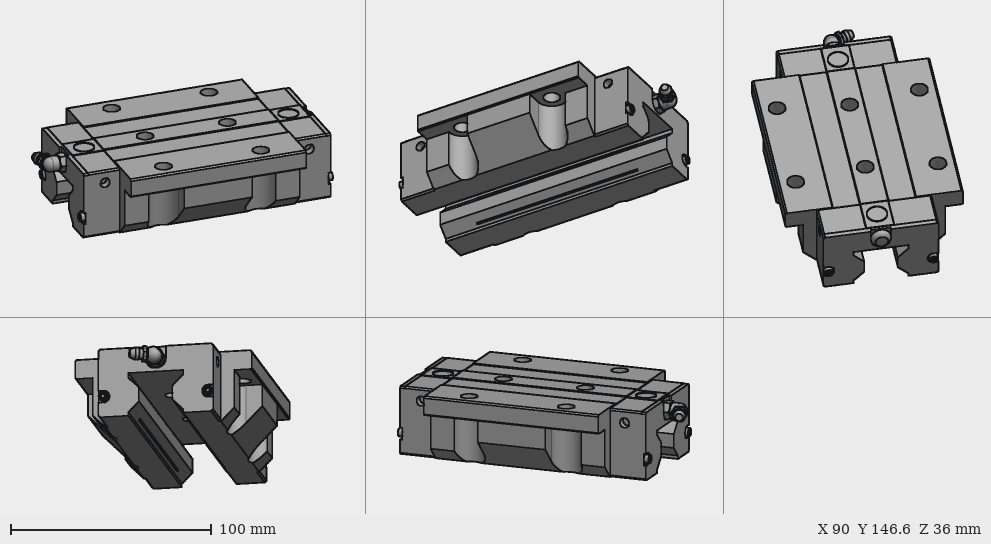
import cadquery as cq
import math

height = 36.0
edge_chamfer = 0.9

flange_width = 90.0
body_length = 93.5
flange_bottom = 26.2
skirt_half_width = 44.4
skirt_corner_height = 15.1
top_groove_depth = 0.5
top_groove_half_width = 21.2
center_strip_width = 13.9

bolt_hole_diameter = 8.5
bolt_spacing_x = 72.1
bolt_spacing_y = 52.0
center_hole_spacing = 44.0
bolt_head_radius = 7.9

channel_height = 22.1
channel_half_width = 13.9
channel_throat_half_width = 8.5
throat_bottom = 7.2
throat_top = 14.4
ridge_radius = 0.5
ridge_offset_from_throat = 3.8

cap_half_width = 29.2
cap_end = 63.5
cap_height = 35.3
cap_strip_height = 35.6
plate_end = 66.0
plate_height = 35.2
port_y = 54.5
top_port_diameter = 10.3
top_port_depth = 0.5
side_port_diameter = 5.0
side_port_depth = 4.4
side_port_height = 28.7

seat_depth = 1.2
screw_x = 26.7
screw_height = 10.7
screw_seat_radius = 3.1
screw_head_radius = 2.2
screw_head_length = 2.6
screw_edge_chamfer = 0.3
screw_socket_width = 2.2
screw_socket_depth = 1.2

port_height = 29.2
port_seat_radius = 5.1
plug_height = 3.2
plug_flat_radius = 3.2
plug_dome_point = (4.7, 2.0)
hex_corner_diameter = 9.7
hex_end = 68.7
hex_corner_chamfer = 0.7
elbow_radius = 4.0
elbow_center_y = 72.4
nozzle_angle = 20.8
collar_corner_diameter = 8.2
collar_start = 3.7
collar_end = 5.3
nozzle_root_radius = 2.8
nozzle_neck_radius = 2.5
nozzle_band_radius = 3.1
nozzle_band_start = 7.3
nozzle_band_end = 9.2
nozzle_tip_radius = 1.9
nozzle_length = 11.9

body_end = body_length / 2
seat_floor = plate_end - seat_depth
groove_floor = height - top_groove_depth
pocket_start = bolt_spacing_y / 2 - bolt_head_radius


def block(x_range, y_range, z_range):
    """Axis-aligned box given by its limits."""
    size = [high - low for low, high in (x_range, y_range, z_range)]
    corner = (x_range[0], y_range[0], z_range[0])
    return cq.Workplane("XY").box(*size, centered=False).translate(corner)


def front_plane(y):
    """XZ workplane at the given Y, extruding toward -Y."""
    return cq.Workplane("XZ", origin=(0, y, 0))


def both_ends(shape):
    """The shape together with its mirror image at the other end."""
    return shape.union(shape.mirror("XZ"))


def make_body():
    half_width = flange_width / 2
    flange_overhang = half_width - skirt_half_width
    flank_foot = skirt_half_width - skirt_corner_height
    right_half = [
        (0, 0),
        (flank_foot, 0),
        (skirt_half_width, skirt_corner_height),
        (skirt_half_width, flange_bottom),
        (half_width, flange_bottom + flange_overhang),
        (half_width, height - edge_chamfer),
        (half_width - edge_chamfer, height),
        (top_groove_half_width, height),
        (top_groove_half_width - top_groove_depth, groove_floor),
        (center_strip_width / 2 + top_groove_depth, groove_floor),
        (center_strip_width / 2, height),
        (0, height),
    ]
    half = front_plane(body_end).polyline(right_half).close().extrude(body_length)
    return half.union(half.mirror("YZ"))


def cut_bolt_holes(body):
    """Six through holes, and the flank pockets that clear the outer bolts."""
    outer_holes = cq.Workplane("XY").rarray(bolt_spacing_x, bolt_spacing_y, 2, 2)
    center_holes = cq.Workplane("XY").rarray(1.5, center_hole_spacing, 1, 2)
    body = body.cut(outer_holes.circle(bolt_hole_diameter / 2).extrude(height))
    body = body.cut(center_holes.circle(bolt_hole_diameter / 2).extrude(height))
    body = body.cut(outer_holes.circle(bolt_head_radius).extrude(flange_bottom))
    for side in (-1, 1):
        wall_x = side * bolt_spacing_x / 2
        outside_x = side * flange_width / 2
        x_range = sorted((wall_x, outside_x))
        pocket = block(x_range, (pocket_start, body_end), (0, flange_bottom))
        body = body.cut(both_ends(pocket))
    return body


def end_section(top, start, end):
    """Chamfered end cap slab from Y = start out to Y = end."""
    slab = block((-cap_half_width, cap_half_width), (start, end), (0, top))
    return slab.edges("|Y").chamfer(edge_chamfer)


def make_end_cap():
    cap = end_section(cap_height, body_end, cap_end)
    strip_top = center_strip_width / 2
    strip_foot = strip_top + cap_strip_height - cap_height
    strip_outline = [
        (-strip_foot, cap_height),
        (strip_foot, cap_height),
        (strip_top, cap_strip_height),
        (-strip_top, cap_strip_height),
    ]
    cap = cap.union(front_plane(cap_end).polyline(strip_outline).close().extrude(cap_end - body_end))
    cap = cap.union(end_section(plate_height, cap_end, plate_end))

    top_port = cq.Workplane("XY", origin=(0, port_y, cap_strip_height))
    cap = cap.cut(top_port.circle(top_port_diameter / 2).extrude(-top_port_depth))
    side_port = cq.Workplane("YZ", origin=(-cap_half_width, port_y, side_port_height))
    side_port = side_port.circle(side_port_diameter / 2).extrude(side_port_depth)
    cap = cap.cut(side_port).cut(side_port.mirror("YZ"))

    seat = front_plane(plate_end).center(0, port_height).circle(port_seat_radius).extrude(seat_depth)
    seat = seat.union(
        block((-port_seat_radius, port_seat_radius), (seat_floor, plate_end), (port_height, plate_height))
    )
    cap = cap.cut(seat)

    screw_seat = front_plane(plate_end).center(screw_x, screw_height)
    screw_seat = screw_seat.circle(screw_seat_radius).extrude(seat_depth)
    seat_z = (screw_height - screw_seat_radius, screw_height + screw_seat_radius)
    screw_seat = screw_seat.union(block((screw_x, cap_half_width), (seat_floor, plate_end), seat_z))
    return cap.cut(screw_seat).cut(screw_seat.mirror("YZ"))


def make_channel():
    """Rail channel along the full length, less the ridges left on its flanks."""
    throat_run = channel_half_width - channel_throat_half_width
    right_half = [
        (0, 0),
        (channel_half_width, 0),
        (channel_half_width, throat_bottom - throat_run),
        (channel_throat_half_width, throat_bottom),
        (channel_throat_half_width, throat_top),
        (channel_half_width, throat_top + throat_run),
        (channel_half_width, channel_height),
        (0, channel_height),
    ]
    half = front_plane(plate_end).polyline(right_half).close().extrude(2 * plate_end)
    ridge_x = channel_throat_half_width + ridge_offset_from_throat
    ridge_heights = (throat_bottom - ridge_offset_from_throat, throat_top + ridge_offset_from_throat)
    for ridge_z in ridge_heights:
        ridge = front_plane(body_end).center(ridge_x, ridge_z).circle(ridge_radius).extrude(body_length)
        half = half.cut(ridge)
    return half.union(half.mirror("YZ"))


def make_screw():
    """Socket head screw standing on its seat at the +X, +Y corner."""
    head = front_plane(seat_floor).center(screw_x, screw_height)
    head = head.circle(screw_head_radius).extrude(-screw_head_length)
    head = head.faces(">Y").edges().chamfer(screw_edge_chamfer)
    socket = front_plane(seat_floor + screw_head_length).center(screw_x, screw_height)
    socket_corner_diameter = screw_socket_width / math.cos(math.radians(30))
    return head.cut(socket.polygon(6, socket_corner_diameter).extrude(screw_socket_depth))


def make_plug():
    """Domed plug closing the +Y grease port."""
    profile = (
        cq.Workplane("XY")
        .lineTo(port_seat_radius, 0)
        .threePointArc(plug_dome_point, (plug_flat_radius, plug_height))
        .lineTo(0, plug_height)
        .close()
    )
    return profile.revolve(360, (0, 0), (0, 1)).translate((0, seat_floor, port_height))


def make_grease_fitting():
    """Hexagon base, elbow and angled nozzle on the -Y grease port."""
    base = front_plane(-seat_floor).center(0, port_height)
    base_length = hex_end - seat_floor
    turned_blank = base.circle(hex_corner_diameter / 2).extrude(base_length)
    turned_blank = turned_blank.faces("<Y").edges().chamfer(hex_corner_chamfer)
    base = base.polygon(6, hex_corner_diameter).extrude(base_length).intersect(turned_blank)
    stem = front_plane(-seat_floor).center(0, port_height)
    stem = stem.circle(elbow_radius).extrude(elbow_center_y - seat_floor)
    elbow = cq.Workplane("XY").sphere(elbow_radius).translate((0, -elbow_center_y, port_height))

    nozzle_outline = [
        (0, 0),
        (nozzle_root_radius, 0),
        (nozzle_root_radius, collar_end),
        (nozzle_neck_radius, nozzle_band_start),
        (nozzle_band_radius, nozzle_band_start),
        (nozzle_band_radius, nozzle_band_end),
        (nozzle_tip_radius, nozzle_length),
        (0, nozzle_length),
    ]
    nozzle = cq.Workplane("XY").polyline(nozzle_outline).close().revolve(360, (0, 0), (0, 1))
    collar = front_plane(collar_end).polygon(6, collar_corner_diameter).extrude(collar_end - collar_start)
    nozzle = nozzle.union(collar).rotate((0, 0, 0), (0, 0, 1), 90 + nozzle_angle)
    nozzle = nozzle.translate((0, -elbow_center_y, port_height))
    return base.union(stem).union(elbow).union(nozzle)


result = cut_bolt_holes(make_body())
result = result.union(both_ends(make_end_cap()))
result = result.cut(make_channel())

screw = make_screw()
result = result.union(both_ends(screw.union(screw.mirror("YZ"))))
result = result.union(make_plug())
result = result.union(make_grease_fitting())